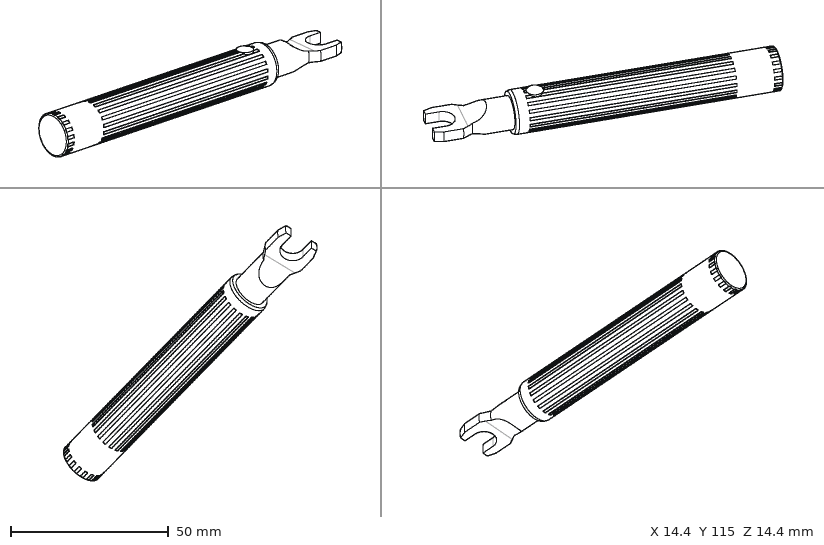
import cadquery as cq
import math

total_length = 115.0

handle_radius = 7.2
butt_chamfer_length = 0.3
butt_chamfer_depth = 0.6
collar_front = 88.2
collar_taper_length = 1.0
collar_front_radius = 6.9

groove_count = 18
groove_width = 1.0
groove_depth = 0.2
grip_start, grip_end = 15.3, 83.6
butt_grooves_end = 2.9

button_radius = 2.8
button_y = 80.0
button_height = 1.2

shank_radius = 5.5
head_radius = handle_radius
tip_radius = 6.3
tip_taper_length = 2.9
head_rear = total_length - 9.4
neck_front = total_length - 12.9

head_thickness = 3.8
flat_rear = total_length - 11.2
scoop_rear = total_length - 18.7

slot_width = 8.0
slot_depth = 8.5


def turned_blank():
    """Solid of revolution holding the handle, shank and head."""
    collar_shoulder = collar_front - collar_taper_length
    profile = [
        (0, 0),
        (handle_radius - butt_chamfer_depth, 0),
        (handle_radius, butt_chamfer_length),
        (handle_radius, collar_shoulder),
        (collar_front_radius, collar_front),
        (shank_radius, collar_front),
        (shank_radius, neck_front),
        (head_radius, head_rear),
        (head_radius, total_length - tip_taper_length),
        (tip_radius, total_length),
        (0, total_length),
    ]
    return cq.Workplane("XY").polyline(profile).close().revolve(360, (0, 0), (0, 1))


def grooves(start, end):
    """Ring of straight grooves from y = start to y = end, one of them on top."""
    length = end - start
    groove = cq.Workplane("XY").box(
        groove_width, length, 2 * groove_depth
    ).translate((0, start + length / 2, handle_radius))
    ring = cq.Workplane("XY")
    for index in range(groove_count):
        ring.add(groove.rotate((0, 0, 0), (0, 1, 0), index * 360 / groove_count).val())
    return ring.combine()


def upper_head_relief():
    """Material above the upper flat, ending in an arc tangent to the flat."""
    half_thickness = head_thickness / 2
    rise = shank_radius - half_thickness
    run = flat_rear - scoop_rear
    scoop_radius = (run**2 + rise**2) / (2 * rise)
    half_sweep = math.asin(run / scoop_radius) / 2
    arc_middle = (
        flat_rear - scoop_radius * math.sin(half_sweep),
        half_thickness + scoop_radius * (1 - math.cos(half_sweep)),
    )
    clear_height = 2 * head_radius
    return (
        cq.Workplane("YZ")
        .moveTo(total_length, half_thickness)
        .lineTo(flat_rear, half_thickness)
        .threePointArc(arc_middle, (scoop_rear, shank_radius))
        .lineTo(scoop_rear, clear_height)
        .lineTo(total_length, clear_height)
        .close()
        .extrude(head_radius, both=True)
    )


def jaw_slot():
    """Open-ended slot with a full-radius bottom."""
    slot_radius = slot_width / 2
    center_y = total_length - slot_depth + slot_radius
    return (
        cq.Workplane("XY")
        .moveTo(slot_radius, total_length)
        .lineTo(slot_radius, center_y)
        .threePointArc((0, center_y - slot_radius), (-slot_radius, center_y))
        .lineTo(-slot_radius, total_length)
        .close()
        .extrude(head_thickness, both=True)
    )


def button():
    """Flat-topped round button rising from inside the handle."""
    return (
        cq.Workplane("XY", origin=(0, button_y, handle_radius - button_height))
        .circle(button_radius)
        .extrude(button_height)
    )


relief = upper_head_relief()
result = (
    turned_blank()
    .cut(relief)
    .cut(relief.mirror("XY"))
    .cut(jaw_slot())
    .cut(grooves(grip_start, grip_end))
    .cut(grooves(butt_chamfer_length, butt_grooves_end))
    .union(button())
)